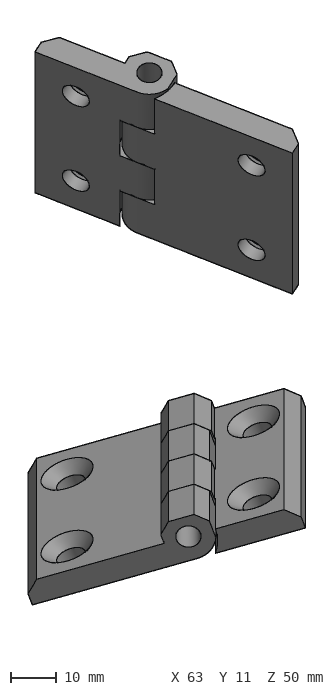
import cadquery as cq
import math

length = 50.0
total_width = 63.0
axis_x = 25.0
leaf_thickness = 6.0
edge_chamfer = 3.0

axis_y = leaf_thickness
knuckle_height = 11.02
knuckle_count = 4
knuckle_length = length / knuckle_count
knuckle_outer = 5.6
outer_chamfer = 2.65
narrow_leaf_inner = 6.0
narrow_leaf_inner_chamfer = 3.0
wide_leaf_inner = knuckle_outer
wide_leaf_inner_chamfer = outer_chamfer
knuckle_radius = axis_y
pin_hole_diameter = 5.5

recess_radius = 10.0
recess_reach = 6.2

screw_hole_diameter = 6.6
countersink_diameter = 12.0
countersink_angle = 90.0
screw_margin = 10.0


def extrude_along_z(profile, z_start, height):
    return profile.extrude(height).translate((0, 0, z_start))


def plate(leaf_width):
    """Leaf plate, with its chamfered outer edge on X = 0 and a curved inner edge."""
    arc_center_x = leaf_width - recess_reach + recess_radius

    def edge_x(y):
        return arc_center_x - math.sqrt(recess_radius**2 - (leaf_thickness - y) ** 2)

    mid_y = leaf_thickness / 2
    profile = (
        cq.Workplane("XY")
        .lineTo(edge_x(0), 0)
        .threePointArc((edge_x(mid_y), mid_y), (edge_x(leaf_thickness), leaf_thickness))
        .lineTo(edge_chamfer, leaf_thickness)
        .lineTo(0, leaf_thickness - edge_chamfer)
        .close()
    )
    return extrude_along_z(profile, 0, length)


def knuckle(leaf_width, inner_reach, inner_chamfer, z_start):
    """One knuckle around the hinge axis, with the web that joins it to the plate."""
    inner_x = leaf_width - inner_reach
    outer_x = leaf_width + knuckle_outer
    full_angle = math.asin(knuckle_outer / knuckle_radius)

    def rounded_corner(angle):
        return (
            leaf_width + knuckle_radius * math.sin(angle),
            axis_y - knuckle_radius * math.cos(angle),
        )

    web_x = inner_x - recess_reach
    profile = (
        cq.Workplane("XY")
        .moveTo(web_x, 0)
        .lineTo(leaf_width, 0)
        .threePointArc(rounded_corner(full_angle / 2), rounded_corner(full_angle))
        .lineTo(outer_x, knuckle_height - outer_chamfer)
        .lineTo(outer_x - outer_chamfer, knuckle_height)
        .lineTo(inner_x + inner_chamfer, knuckle_height)
        .lineTo(inner_x, knuckle_height - inner_chamfer)
        .lineTo(inner_x, leaf_thickness)
        .lineTo(web_x, leaf_thickness)
        .close()
    )
    return extrude_along_z(profile, z_start, knuckle_length)


def pin_hole(leaf_width):
    profile = cq.Workplane("XY").center(leaf_width, axis_y).circle(pin_hole_diameter / 2)
    return extrude_along_z(profile, 0, length)


def drill_screw_holes(body):
    """Screw holes through the plate, countersunk from the knuckle side."""
    mid_z = length / 2
    hole_spacing = length - 2 * screw_margin
    return (
        body.copyWorkplane(cq.Workplane("ZX", origin=(screw_margin, leaf_thickness, mid_z)))
        .rarray(hole_spacing, 1, 2, 1)
        .cskHole(screw_hole_diameter, countersink_diameter, countersink_angle, leaf_thickness)
    )


def leaf(leaf_width, inner_reach, inner_chamfer, first_knuckle):
    """Leaf from its outer edge on X = 0 to the hinge axis on X = leaf_width."""
    body = plate(leaf_width)
    for position in range(first_knuckle, knuckle_count, 2):
        z_start = position * knuckle_length
        body = body.union(knuckle(leaf_width, inner_reach, inner_chamfer, z_start))
    return drill_screw_holes(body.cut(pin_hole(leaf_width)))


narrow_leaf = leaf(axis_x, narrow_leaf_inner, narrow_leaf_inner_chamfer, first_knuckle=1)

wide_leaf_width = total_width - axis_x
wide_leaf = leaf(wide_leaf_width, wide_leaf_inner, wide_leaf_inner_chamfer, first_knuckle=0)
wide_leaf = wide_leaf.mirror("YZ").translate((total_width, 0, 0))

result = cq.Compound.makeCompound([narrow_leaf.solids().val(), wide_leaf.solids().val()])